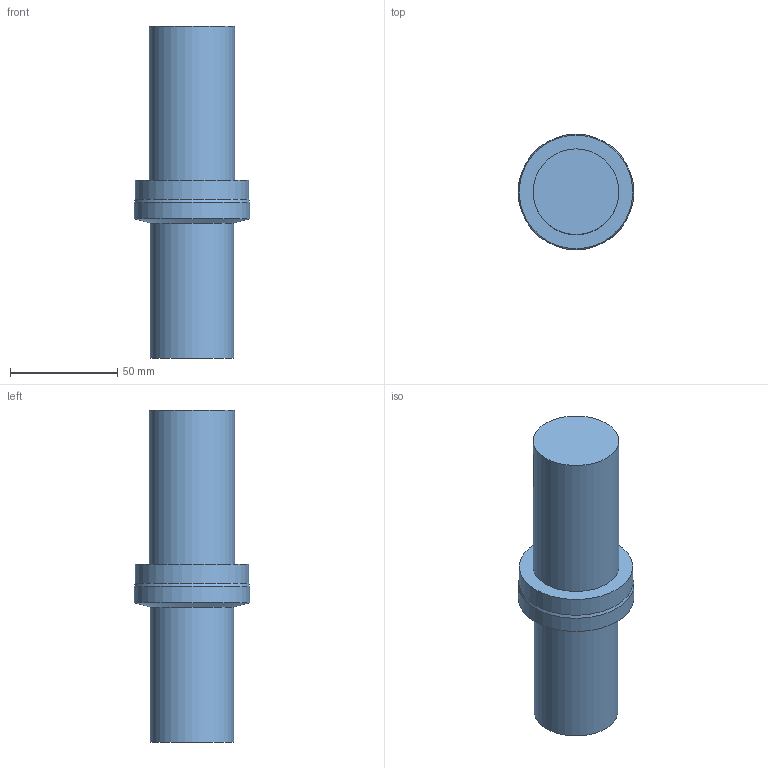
import cadquery as cq
import math

total_length = 155.0
lower_shank_length = 63.0
lower_shank_diameter = 39.0
upper_shank_diameter = 40.0

collar_height = 20.0
lower_collar_diameter = 54.0
upper_collar_diameter = 53.0
upper_collar_height = 9.0

underside_angle = 15.0
step_taper_angle = 20.0

lower_shank_radius = lower_shank_diameter / 2
upper_shank_radius = upper_shank_diameter / 2
lower_collar_radius = lower_collar_diameter / 2
upper_collar_radius = upper_collar_diameter / 2

underside_height = (lower_collar_radius - lower_shank_radius) * math.tan(math.radians(underside_angle))
step_taper_height = (lower_collar_radius - upper_collar_radius) / math.tan(math.radians(step_taper_angle))

collar_bottom = lower_shank_length
collar_top = collar_bottom + collar_height
lower_collar_start = collar_bottom + underside_height
upper_collar_start = collar_top - upper_collar_height
lower_collar_end = upper_collar_start - step_taper_height


def collared_pin():
    """Revolve the half profile (radius, height) about the Z axis."""
    half_profile = [
        (0, 0),
        (lower_shank_radius, 0),
        (lower_shank_radius, collar_bottom),
        (lower_collar_radius, lower_collar_start),
        (lower_collar_radius, lower_collar_end),
        (upper_collar_radius, upper_collar_start),
        (upper_collar_radius, collar_top),
        (upper_shank_radius, collar_top),
        (upper_shank_radius, total_length),
        (0, total_length),
    ]
    return (
        cq.Workplane("XZ")
        .polyline(half_profile)
        .close()
        .revolve(360, (0, 0, 0), (0, 1, 0))
    )


result = collared_pin()